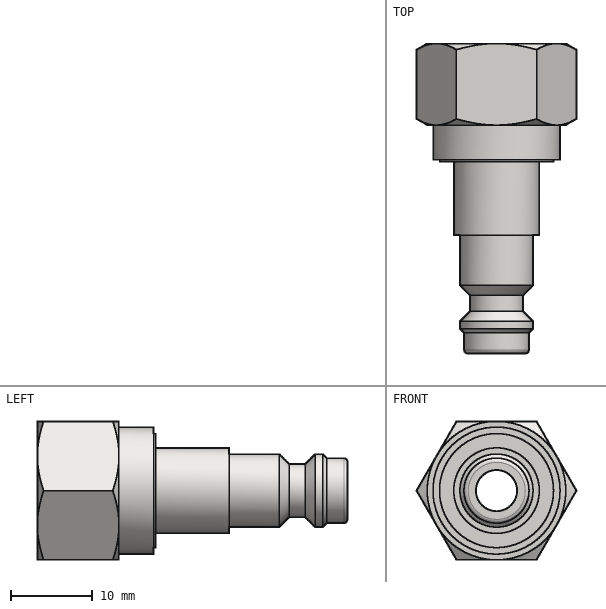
import cadquery as cq
import math

total_length = 38.0

bore_radius = 2.5
tip_radius = 4.0
plug_radius = 4.5
neck_radius = 3.25
body_radius = 5.25
collar_face_radius = 7.0
collar_radius = 7.8
tip_fillet = 0.5

ring_start = 2.55
ring_flat_end = 4.0
neck_start = ring_flat_end + plug_radius - neck_radius
neck_end = 7.15
plug_flat_start = neck_end + plug_radius - neck_radius
body_start = 14.5
collar_face_start = 23.5
collar_start = 23.75
head_start = 28.0

across_flats = 17.0
across_corners = across_flats / math.cos(math.radians(30))
head_length = total_length - head_start
corner_chamfer_angle = 30.0


def revolve_about_y(profile):
    """Turn an (X, Y) profile about the Y axis."""
    return profile.close().revolve(360, (0, 0, 0), (0, 1, 0))


def turned_shank():
    """Plug tip, locking ring, neck, stepped body and collar."""
    ring_flat_start = ring_start + plug_radius - tip_radius
    fillet_setback = tip_fillet * (1 - math.sqrt(0.5))
    profile = (
        cq.Workplane("XY")
        .lineTo(tip_radius - tip_fillet, 0)
        .threePointArc(
            (tip_radius - fillet_setback, fillet_setback),
            (tip_radius, tip_fillet),
        )
        .lineTo(tip_radius, ring_start)
        .lineTo(plug_radius, ring_flat_start)
        .lineTo(plug_radius, ring_flat_end)
        .lineTo(neck_radius, neck_start)
        .lineTo(neck_radius, neck_end)
        .lineTo(plug_radius, plug_flat_start)
        .lineTo(plug_radius, body_start)
        .lineTo(body_radius, body_start)
        .lineTo(body_radius, collar_face_start)
        .lineTo(collar_face_radius, collar_face_start)
        .lineTo(collar_face_radius, collar_start)
        .lineTo(collar_radius, collar_start)
        .lineTo(collar_radius, head_start)
        .lineTo(0, head_start)
    )
    return revolve_about_y(profile)


def hex_head():
    """Hexagon with corners on +-X, its corners turned off conically at both ends."""
    prism = (
        cq.Workplane("XZ", origin=(0, head_start, 0))
        .polygon(6, across_corners)
        .extrude(-head_length)
    )
    face_radius = across_flats / 2
    corner_radius = across_corners / 2
    chamfer_depth = (corner_radius - face_radius) * math.tan(math.radians(corner_chamfer_angle))
    envelope = (
        cq.Workplane("XY")
        .moveTo(0, head_start)
        .lineTo(face_radius, head_start)
        .lineTo(corner_radius, head_start + chamfer_depth)
        .lineTo(corner_radius, total_length - chamfer_depth)
        .lineTo(face_radius, total_length)
        .lineTo(0, total_length)
    )
    return prism.intersect(revolve_about_y(envelope))


def through_bore():
    return cq.Workplane("XZ").circle(bore_radius).extrude(-total_length)


result = turned_shank().union(hex_head()).cut(through_bore())